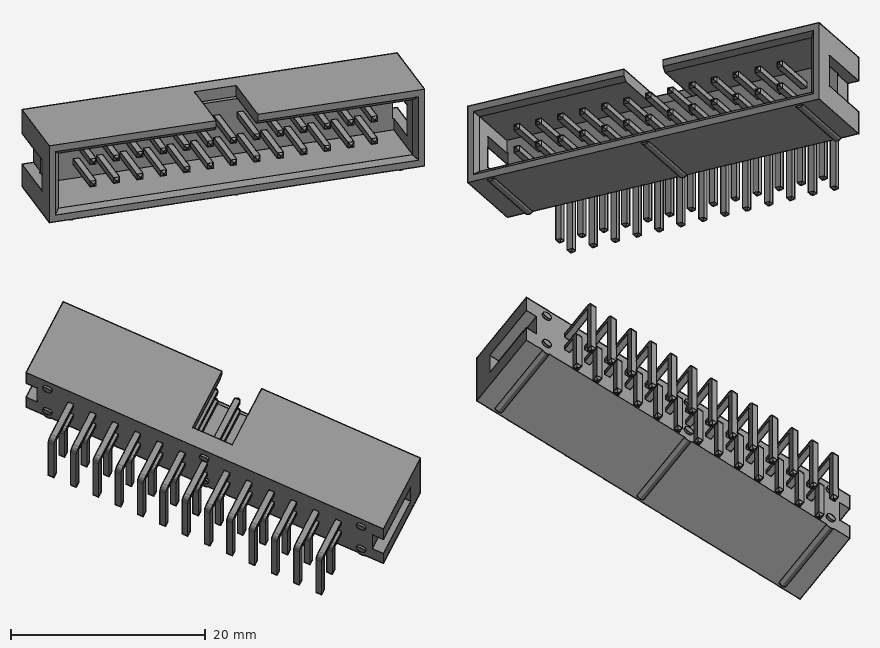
import cadquery as cq


length = 40.7
depth = 8.83
height = 8.83
rear_wall = 2.3
wall = 1.25
end_wall = 1.15
mouth_chamfer = 0.5
cavity_width = length - 2 * end_wall
cavity_height = height - 2 * wall

slot_depth = 1.25
slot_length = 6.5
slot_bottom = 2.55
slot_height = 3.55

notch_width = 4.5
notch_start = 1.85

bump_diameter = 1.0
bump_height = 0.25
bump_offset = 17.85
bump_positions = (-bump_offset, 0.0, bump_offset)
stud_levels = (1.6, 7.25)
rib_length = 8.5

pin_columns = 13
pin_span = 30.45
pitch = pin_span / (pin_columns - 1)
pin_width = 0.65
bend_radius = pin_width
lower_pin_level = 3.17
outer_leg_x = -4.4
pin_end_x = 8.0
pin_end_z = -3.25
tip_length = 0.25
tip_width = 0.15


def box(corner, size):
    """Box placed by its lowest corner."""
    return cq.Workplane("XY").box(*size, centered=False).translate(corner)


def taper(plane, origin, start_size, end_size, distance):
    """Straight-sided transition between two centred rectangles along the plane normal."""
    return (
        cq.Workplane(plane, origin=origin)
        .rect(*start_size)
        .workplane(offset=distance)
        .rect(*end_size)
        .loft(ruled=True)
    )


def make_housing():
    body = box((0, -length / 2, 0), (depth, length, height))

    cavity_corner = (rear_wall, -cavity_width / 2, wall)
    body = body.cut(box(cavity_corner, (depth - rear_wall, cavity_width, cavity_height)))
    mouth_size = (cavity_width + 2 * mouth_chamfer, cavity_height + 2 * mouth_chamfer)
    mouth_center = (depth, 0, height / 2)
    body = body.cut(taper("YZ", mouth_center, mouth_size, (cavity_width, cavity_height), -mouth_chamfer))

    for slot_y in (-length / 2, length / 2 - slot_depth):
        body = body.cut(box((0, slot_y, slot_bottom), (slot_length, slot_depth, slot_height)))

    notch_corner = (notch_start, -notch_width / 2, height - wall)
    return body.cut(box(notch_corner, (depth - notch_start, notch_width, wall)))


def make_rods(points, rod_length):
    """Round rods along X, starting on the rear face at the given (Y, Z) points."""
    return cq.Workplane("YZ").pushPoints(points).circle(bump_diameter / 2).extrude(rod_length)


def make_bumps():
    studs = make_rods([(y, z) for y in bump_positions for z in stud_levels], -bump_height)
    rib_axis_z = bump_diameter / 2 - bump_height
    ribs = make_rods([(y, rib_axis_z) for y in bump_positions], rib_length)
    return studs.union(ribs)


def make_pin(leg_x, level):
    """L-shaped square pin centred on Y = 0, with a rounded outer bend and tapered ends."""
    left = leg_x - pin_width / 2
    right = leg_x + pin_width / 2
    bottom = level - pin_width / 2
    top = level + pin_width / 2
    bar_end = pin_end_x - tip_length
    leg_end = pin_end_z + tip_length
    pin = (
        cq.Workplane("XZ")
        .moveTo(left, leg_end)
        .lineTo(left, top - bend_radius)
        .tangentArcPoint((left + bend_radius, top), relative=False)
        .lineTo(bar_end, top)
        .lineTo(bar_end, bottom)
        .lineTo(right, bottom)
        .lineTo(right, leg_end)
        .close()
        .extrude(pin_width / 2, both=True)
    )
    shank = (pin_width, pin_width)
    tip = (tip_width, tip_width)
    bar_tip = taper("YZ", (bar_end, 0, level), shank, tip, tip_length)
    leg_tip = taper("XY", (leg_x, 0, leg_end), shank, tip, -tip_length)
    return pin.union(bar_tip).union(leg_tip)


result = make_housing().union(make_bumps())

upper_pin = make_pin(outer_leg_x, lower_pin_level + pitch)
lower_pin = make_pin(outer_leg_x + pitch, lower_pin_level)
for column in range(pin_columns):
    column_y = column * pitch - pin_span / 2
    for pin in (upper_pin, lower_pin):
        result = result.union(pin.translate((0, column_y, 0)))